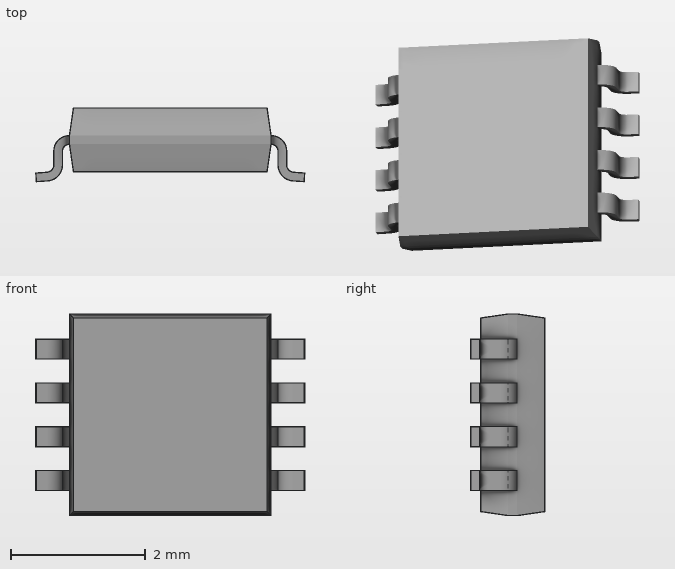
import cadquery as cq
import math


body_side = 3.0
body_bottom = 0.15
body_depth = 0.95
band_depth = 0.13
lower_depth = 0.41
taper_inset = 0.06
upper_depth = body_depth - lower_depth - band_depth
band_bottom = body_bottom + lower_depth
band_top = band_bottom + band_depth

lead_span = 4.0
leads_per_side = 4
lead_row_span = 1.95
lead_pitch = lead_row_span / (leads_per_side - 1)
lead_width = 0.3
lead_thickness = 0.13
shoulder_inner_radius = 0.1
foot_inner_radius = 0.11
shoulder_outer_radius = shoulder_inner_radius + lead_thickness
foot_outer_radius = foot_inner_radius + lead_thickness
foot_slope = math.radians(4)


def make_tapered_half(start_y, depth, direction):
    """Block that narrows by taper_inset per side, growing along +Y (1) or -Y (-1)."""
    taper_angle = math.degrees(math.atan(taper_inset / depth))
    plane = cq.Plane(origin=(0, start_y, 0), xDir=(1, 0, 0), normal=(0, direction, 0))
    return cq.Workplane(plane).rect(body_side, body_side).extrude(depth, taper=taper_angle)


def make_housing():
    """Straight band with a tapered half on each side, joined into one solid."""
    band = cq.Workplane("XY").box(body_side, band_depth, body_side)
    band = band.translate((0, band_bottom + band_depth / 2, 0))
    lower_half = make_tapered_half(band_bottom, lower_depth, -1)
    upper_half = make_tapered_half(band_top, upper_depth, 1)
    return band.union(lower_half).union(upper_half)


def make_lead(center_z):
    """Lead on the +X side: shoulder bend, upright shank, foot bend and sloping foot."""
    shoulder_x = body_side / 2
    shank_inner_x = shoulder_x + shoulder_inner_radius
    shoulder_y = band_top - shoulder_outer_radius

    along_x = math.cos(foot_slope)
    along_y = -math.sin(foot_slope)
    foot_bend_x = shank_inner_x + foot_outer_radius
    tip_upper_x = lead_span / 2
    tip_lower_x = tip_upper_x + lead_thickness * along_y
    tip_upper_y = lead_thickness * along_x
    foot_start_x = foot_bend_x + foot_outer_radius * along_y
    foot_start_y = (tip_lower_x - foot_start_x) * math.tan(foot_slope)
    foot_bend_y = foot_start_y + foot_outer_radius * along_x

    def shoulder_middle(radius):
        """Middle of the quarter-turn shoulder bend at the given radius."""
        reach = radius * math.cos(math.pi / 4)
        return shoulder_x + reach, shoulder_y + reach

    def on_foot_bend(radius, angle):
        """Point on the foot bend after turning by angle away from the shank."""
        return foot_bend_x - radius * math.cos(angle), foot_bend_y - radius * math.sin(angle)

    full_turn = math.pi / 2 - foot_slope
    half_turn = full_turn / 2

    profile = (
        cq.Workplane("XY")
        .workplane(offset=center_z - lead_width / 2)
        .moveTo(shoulder_x, band_top)
        .threePointArc(
            shoulder_middle(shoulder_outer_radius),
            (shoulder_x + shoulder_outer_radius, shoulder_y),
        )
        .lineTo(*on_foot_bend(foot_inner_radius, 0))
        .threePointArc(
            on_foot_bend(foot_inner_radius, half_turn),
            on_foot_bend(foot_inner_radius, full_turn),
        )
        .lineTo(tip_upper_x, tip_upper_y)
        .lineTo(tip_lower_x, 0)
        .lineTo(*on_foot_bend(foot_outer_radius, full_turn))
        .threePointArc(
            on_foot_bend(foot_outer_radius, half_turn),
            on_foot_bend(foot_outer_radius, 0),
        )
        .lineTo(shank_inner_x, shoulder_y)
        .threePointArc(
            shoulder_middle(shoulder_inner_radius),
            (shoulder_x, shoulder_y + shoulder_inner_radius),
        )
        .close()
    )
    return profile.extrude(lead_width)


housing = make_housing()

leads = []
for row in range(leads_per_side):
    row_z = row * lead_pitch - lead_row_span / 2
    right_lead = make_lead(row_z)
    left_lead = right_lead.mirror("YZ")
    leads.append(right_lead.val())
    leads.append(left_lead.val())

result = cq.Compound.makeCompound([housing.val(), *leads])